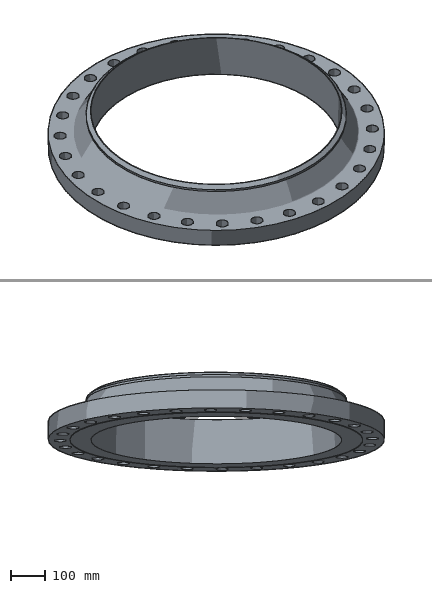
import cadquery as cq
import math

flange_diameter = 984.25
raised_face_diameter = 857.25
raised_face_height = 1.6
flange_top = 55.5
total_height = 131.9

bore_diameter = 733.5
hub_base_diameter = 835.0
hub_base_fillet_radius = 5.0
neck_diameter = 762.0
neck_land_length = 6.5
weld_bevel_angle = 37.5
weld_root_face = 1.6

bolt_circle_diameter = 914.4
bolt_count = 28
bolt_hole_diameter = 35.0

flange_radius = flange_diameter / 2
bore_radius = bore_diameter / 2
neck_radius = neck_diameter / 2
bolt_circle_radius = bolt_circle_diameter / 2


def ring_body():
    """Revolve the half section of the plate, raised face and tapered hub."""
    weld_root_radius = bore_radius + weld_root_face
    bevel_height = (neck_radius - weld_root_radius) * math.tan(math.radians(weld_bevel_angle))
    bevel_start = total_height - bevel_height
    section = (
        cq.Workplane("XZ")
        .moveTo(bore_radius, 0)
        .lineTo(raised_face_diameter / 2, 0)
        .lineTo(raised_face_diameter / 2, raised_face_height)
        .lineTo(flange_radius, raised_face_height)
        .lineTo(flange_radius, flange_top)
        .lineTo(hub_base_diameter / 2, flange_top)
        .lineTo(neck_radius, bevel_start - neck_land_length)
        .lineTo(neck_radius, bevel_start)
        .lineTo(weld_root_radius, total_height)
        .lineTo(bore_radius, total_height)
        .close()
    )
    ring = section.revolve(360, (0, 0, 0), (0, 1, 0))
    hub_base_edge = cq.selectors.RadiusNthSelector(-3)
    return ring.edges("%CIRCLE").edges(hub_base_edge).fillet(hub_base_fillet_radius)


def bolt_holes():
    """Through holes evenly spaced on the bolt circle, the first on +X."""
    return (
        cq.Workplane("XY")
        .polarArray(bolt_circle_radius, 0, 360, bolt_count)
        .circle(bolt_hole_diameter / 2)
        .extrude(flange_top)
    )


result = ring_body().cut(bolt_holes())